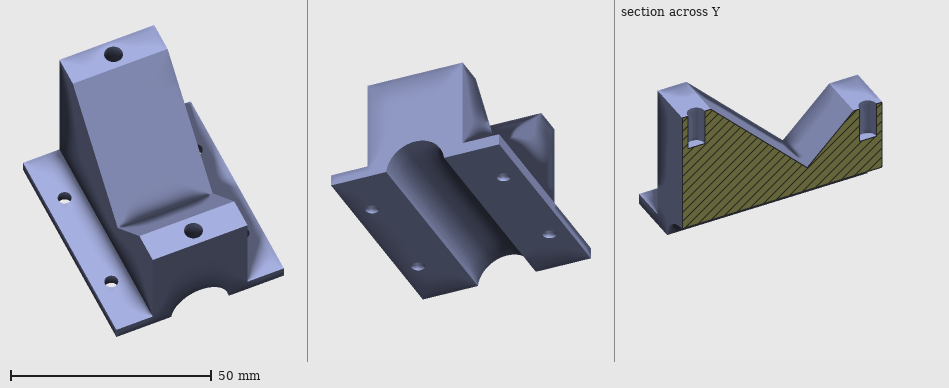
import cadquery as cq

length = 56.55
width = 46.0
height = 41.35

plate_thickness = 3.05
block_width = 26.0

flat_length = 8.1
notch_floor = 14.1
notch_x = flat_length + height - notch_floor
low_top_x = length - flat_length
low_top = notch_floor + low_top_x - notch_x

channel_radius = 8.0
channel_height = 7.0

plate_hole_diameter = 3.5
plate_hole_spacing_x = length / 2
plate_hole_spacing_y = 36.0

top_hole_diameter = 4.75
top_hole_depth = 10.0


def make_plate():
    """Flat base with four mounting holes."""
    plate = cq.Workplane("XY").box(length, width, plate_thickness, centered=(False, True, False))
    return (
        plate.faces(">Z")
        .workplane(origin=(length / 2, 0, 0))
        .rarray(plate_hole_spacing_x, plate_hole_spacing_y, 2, 2)
        .hole(plate_hole_diameter)
    )


def make_block():
    """Notched block, extruded evenly about the middle plane."""
    outline = [
        (0, 0),
        (0, height),
        (flat_length, height),
        (notch_x, notch_floor),
        (low_top_x, low_top),
        (length, low_top),
        (length, 0),
    ]
    return cq.Workplane("XZ").polyline(outline).close().extrude(block_width / 2, both=True)


def make_channel():
    """Cylinder along X, with its axis just below the base."""
    axis_z = channel_height - channel_radius
    return cq.Workplane("YZ").center(0, axis_z).circle(channel_radius).extrude(length)


def make_top_hole(x, top):
    """Blind hole going down from a flat top."""
    return (
        cq.Workplane("XY", origin=(x, 0, top))
        .circle(top_hole_diameter / 2)
        .extrude(-top_hole_depth)
    )


result = make_plate().union(make_block()).cut(make_channel())
for hole_x, hole_top in [(flat_length / 2, height), (length - flat_length / 2, low_top)]:
    result = result.cut(make_top_hole(hole_x, hole_top))